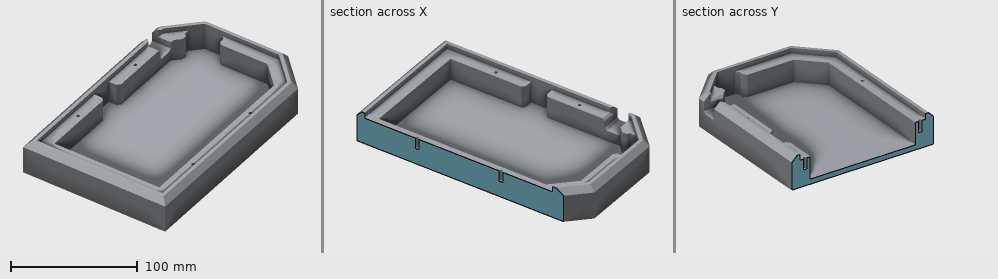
import cadquery as cq

width = 136.0
length = 215.5
height = 30.0
left_corner_cut = 28.5
right_corner_cut = 30.2
rim_chamfer = 5.0

rim_inset = 8.0
shelf_inset = 17.9
recess_depth = 5.0
shelf_z = height - recess_depth
floor_z = 5.0

notch_top_y = 72.2
notch_width = 14.7
notch_bottom_z = 14.9
notch_floor_chamfer = 2.0
mouth_chamfer = 2.0

gap_chamfer = 2.5
side_gap_top_y = 0.5
side_gap_bottom_y = -19.6
shelf_end_x = 51.3
tab_inner_x = 22.2
tab_depth = 22.0
tab_nose_length = 4.3

hole_diameter = 3.0
hole_depth = 10.0
hole_rows = (30.2, -49.8)

left = -width / 2
top = length / 2
rim_x = left + rim_inset
shelf_x = left + shelf_inset
rim_y = top - rim_inset
shelf_y = top - shelf_inset
notch_bottom_y = notch_top_y - notch_width


def block_outline(z):
    """Rectangle with both +Y corners cut off, placed at height z."""
    right = -left
    points = [
        (left, -top),
        (right, -top),
        (right, top - right_corner_cut),
        (right - right_corner_cut, top),
        (left + left_corner_cut, top),
        (left, top - left_corner_cut),
    ]
    return cq.Workplane("XY", origin=(0, 0, z)).polyline(points).close()


def cavity(inset, bottom_z):
    """Cavity set in from the block outline, open at the top."""
    return block_outline(bottom_z).offset2D(-inset, "intersection").extrude(height - bottom_z)


def prism(points, bottom_z, top_z):
    """Upright prism over a polygon."""
    base = cq.Workplane("XY", origin=(0, 0, bottom_z))
    return base.polyline(points).close().extrude(top_z - bottom_z)


def corner_gap():
    """Shelf gap at the upper left corner, between the top shelf and the tab."""
    end_x = left + shelf_end_x
    tab_x = left + tab_inner_x
    nose_x = tab_x + gap_chamfer
    tab_y = top - tab_depth
    nose_top_y = tab_y - gap_chamfer
    nose_bottom_y = nose_top_y - tab_nose_length
    nose_run = nose_x - shelf_x
    points = [
        (tab_x, rim_y),
        (end_x - gap_chamfer, rim_y),
        (end_x, rim_y - gap_chamfer),
        (end_x, shelf_y + gap_chamfer),
        (end_x + gap_chamfer, shelf_y),
        (end_x + gap_chamfer, nose_bottom_y - nose_run),
        (shelf_x, nose_bottom_y - nose_run),
        (nose_x, nose_bottom_y),
        (nose_x, nose_top_y),
        (tab_x, tab_y),
    ]
    return prism(points, floor_z, height).intersect(cavity(rim_inset, floor_z))


def side_gap():
    """Shelf gap on the left side, flaring towards the pocket."""
    points = [
        (rim_x, side_gap_top_y),
        (shelf_x - gap_chamfer, side_gap_top_y),
        (shelf_x, side_gap_top_y + gap_chamfer),
        (shelf_x, side_gap_bottom_y - gap_chamfer),
        (shelf_x - gap_chamfer, side_gap_bottom_y),
        (rim_x, side_gap_bottom_y),
    ]
    return prism(points, floor_z, height)


def tab_fill():
    """Shelf material of the tab, filling the pocket corner beside the notch."""
    nose_x = left + tab_inner_x + gap_chamfer
    points = [
        (shelf_x, notch_top_y),
        (nose_x, notch_top_y),
        (nose_x, shelf_y),
        (shelf_x, shelf_y),
    ]
    return prism(points, floor_z, shelf_z).intersect(cavity(rim_inset, floor_z))


def notch():
    """Channel along X through the left wall and shelf, with a chamfered floor."""
    past_tab_x = left + tab_inner_x + gap_chamfer
    section = [
        (notch_bottom_y + notch_floor_chamfer, notch_bottom_z),
        (notch_top_y - notch_floor_chamfer, notch_bottom_z),
        (notch_top_y, notch_bottom_z + notch_floor_chamfer),
        (notch_top_y, height),
        (notch_bottom_y, height),
        (notch_bottom_y, notch_bottom_z + notch_floor_chamfer),
    ]
    channel_plane = cq.Workplane("YZ", origin=(left, 0, 0))
    return channel_plane.polyline(section).close().extrude(past_tab_x - left)


def notch_mouth():
    """Chamfers of the shelf edges and of the inner rim corners beside the notch."""
    outer_top_y = notch_top_y + mouth_chamfer
    outer_bottom_y = notch_bottom_y - mouth_chamfer
    section = [
        (notch_bottom_y, shelf_z - mouth_chamfer),
        (notch_top_y, shelf_z - mouth_chamfer),
        (outer_top_y, shelf_z),
        (outer_top_y, height),
        (outer_bottom_y, height),
        (outer_bottom_y, shelf_z),
    ]
    plan = [
        (rim_x - mouth_chamfer, notch_bottom_y),
        (rim_x, outer_bottom_y),
        (shelf_x + gap_chamfer, outer_bottom_y),
        (shelf_x + gap_chamfer, outer_top_y),
        (rim_x, outer_top_y),
        (rim_x - mouth_chamfer, notch_top_y),
    ]
    edge_cut = cq.Workplane("YZ", origin=(left, 0, 0)).polyline(section).close().extrude(width)
    return edge_cut.intersect(prism(plan, floor_z, height))


def screw_holes():
    """Blind holes along both side shelves."""
    hole_x = width / 2 - (rim_inset + shelf_inset) / 2
    centers = [(x, y) for x in (-hole_x, hole_x) for y in hole_rows]
    base = cq.Workplane("XY", origin=(0, 0, shelf_z - hole_depth))
    return base.pushPoints(centers).circle(hole_diameter / 2).extrude(hole_depth)


block = block_outline(0).extrude(height).faces(">Z").chamfer(rim_chamfer)
tray = block.cut(cavity(rim_inset, shelf_z)).cut(cavity(shelf_inset, floor_z))
tray = tray.union(tab_fill())
for opening in (corner_gap(), side_gap(), notch(), notch_mouth(), screw_holes()):
    tray = tray.cut(opening)
result = tray